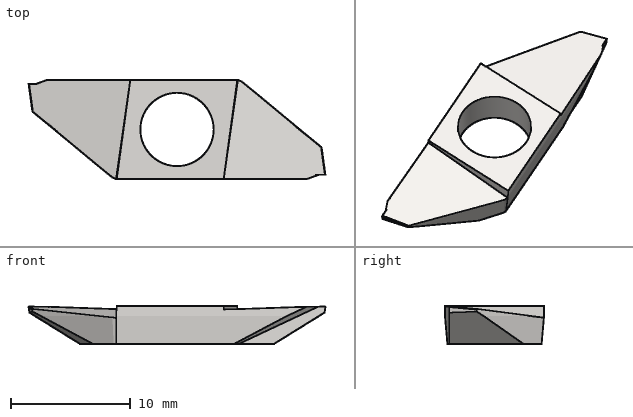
import cadquery as cq
import math

body_width = 8.3
thickness = 3.18
half_width = body_width / 2
hole_diameter = 6.11

band_height = 2.33
wall_taper = 5.0

flank_angle = 39.6
blunt_end_x = 5.1
blunt_length_x = 0.3
blunt_depth = 0.12

tip_x = 12.41
tip_y = -3.8
tip_z = 3.15
end_skew = 7.0
end_relief = 9.0
edge_bevel = 0.07
back_slope_foot_x = 8.11
back_slope_skew = 10.0
back_slope_angle = 32.2

step_x_near = 3.89
step_x_far = 5.03
step_lean = 4.0
rake_rise_x = 0.035
rake_fall_y = 0.0875
rake_normal = (-rake_rise_x, rake_fall_y, 1)

notch_end_x = 11.86
notch_facet_run = 0.95
notch_run_per_drop = 2.13

overshoot = 5.0
half_space_size = 60.0


def half_turn(shape):
    return shape.rotate((0, 0, 0), (0, 0, 1), 180)


def space_beyond(point, normal):
    """Everything on the side of a plane that its normal points to."""
    plane = cq.Plane(origin=point, normal=normal)
    return cq.Workplane(plane).rect(half_space_size, half_space_size).extrude(half_space_size)


def skewed_normal(skew, tilt):
    """Direction along +X turned by skew about Z, then raised (+) or lowered (-) by tilt."""
    turn = math.radians(skew)
    rise = math.radians(tilt)
    return (
        math.cos(rise) * math.cos(turn),
        math.cos(rise) * math.sin(turn),
        math.sin(rise),
    )


def make_body():
    """Pointed outline with vertical upper walls and tapered lower walls."""
    flank_start_x = blunt_end_x + blunt_length_x
    flank_start_y = half_width - blunt_depth
    flank_drop = flank_start_y + half_width
    point_x = flank_start_x + flank_drop / math.tan(math.radians(flank_angle))
    half_outline = [
        (point_x, -half_width),
        (flank_start_x, flank_start_y),
        (blunt_end_x, half_width),
    ]
    outline = half_outline + [(-x, -y) for x, y in half_outline]
    lower = (
        cq.Workplane("XY", origin=(0, 0, band_height))
        .polyline(outline)
        .close()
        .extrude(-band_height, taper=wall_taper)
    )
    upper = (
        cq.Workplane("XY", origin=(0, 0, band_height))
        .polyline(outline)
        .close()
        .extrude(thickness - band_height)
    )
    return lower.union(upper)


def make_end_cut():
    """Bevelled cutting edge, the relief face under it and the long slope behind."""
    outermost_point = (tip_x, tip_y, tip_z - edge_bevel)
    relief_normal = cq.Vector(skewed_normal(end_skew, -end_relief))
    bevel_normal = relief_normal + cq.Vector(rake_normal).normalized()
    relief = space_beyond(outermost_point, relief_normal)
    bevel = space_beyond(outermost_point, bevel_normal)
    slope = space_beyond(
        (back_slope_foot_x, tip_y, 0),
        skewed_normal(back_slope_skew, back_slope_angle - 90),
    )
    return relief.union(bevel).union(slope)


def make_rake_cut():
    """Material above the inclined rake face, outboard of the step."""
    above_rake = space_beyond((tip_x, tip_y, tip_z), rake_normal)
    step_skew = -math.degrees(math.atan2(step_x_far - step_x_near, body_width))
    outboard = space_beyond((step_x_near, -half_width, thickness), skewed_normal(step_skew, step_lean))
    return above_rake.intersect(outboard)


def make_notch_cut():
    """Notch profile at tip height, swept down and inward under the tip."""
    facet_depth = half_width + tip_y
    run_per_depth = notch_facet_run / facet_depth
    facet_outer_x = notch_end_x - run_per_depth * (facet_depth + overshoot)
    profile = [
        (notch_end_x, tip_y),
        (facet_outer_x, -half_width - overshoot),
        (tip_x + 2 * overshoot, -half_width - overshoot),
        (tip_x + 2 * overshoot, tip_y),
    ]
    start = cq.Vector(notch_run_per_drop, 0, 1) * overshoot
    corners = [cq.Vector(x, y, tip_z) + start for x, y in profile]
    wire = cq.Wire.makePolygon(corners, close=True)
    sweep = cq.Vector(-notch_run_per_drop, 0, -1) * (tip_z + 2 * overshoot)
    return cq.Workplane(cq.Solid.extrudeLinear(wire, [], sweep))


result = make_body()
for make_cut in (make_end_cut, make_rake_cut, make_notch_cut):
    cut = make_cut()
    result = result.cut(cut).cut(half_turn(cut))

hole = cq.Workplane("XY").circle(hole_diameter / 2).extrude(thickness)
result = result.cut(hole)